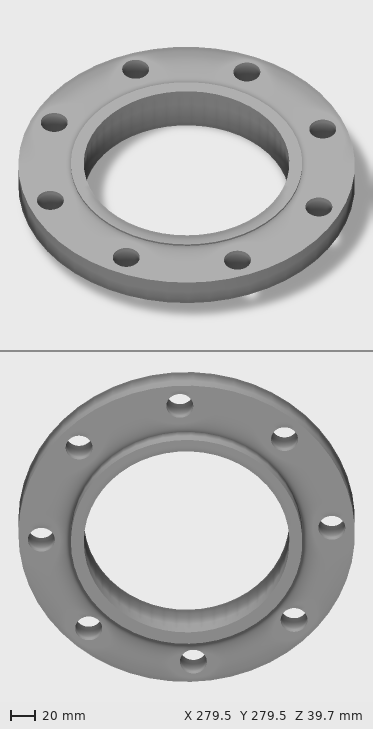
import cadquery as cq

flange_diameter = 279.5
collar_diameter = 192.2
bore_diameter = 170.7
total_height = 39.7
flange_thickness = 23.7
raised_face_height = 1.7
hub_height = total_height - flange_thickness - raised_face_height

bolt_count = 8
bolt_circle_diameter = 241.5
bolt_hole_diameter = 22.4
bolt_pitch_angle = 360 / bolt_count


def make_body():
    """Flange disc with a hub below it and a raised face above it."""
    collar = cq.Workplane("XY").circle(collar_diameter / 2).extrude(total_height)
    disc = (
        cq.Workplane("XY")
        .workplane(offset=hub_height)
        .circle(flange_diameter / 2)
        .extrude(flange_thickness)
    )
    return collar.union(disc)


def make_bore():
    return cq.Workplane("XY").circle(bore_diameter / 2).extrude(total_height)


def make_bolt_holes():
    return (
        cq.Workplane("XY")
        .polarArray(bolt_circle_diameter / 2, bolt_pitch_angle / 2, 360, bolt_count)
        .circle(bolt_hole_diameter / 2)
        .extrude(total_height)
    )


result = make_body().cut(make_bore()).cut(make_bolt_holes())